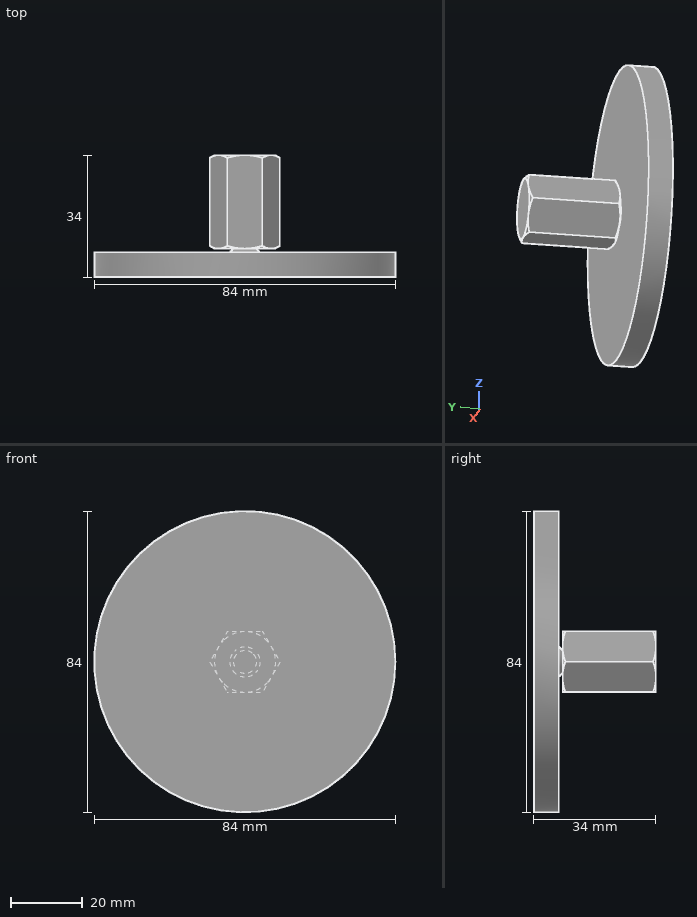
import cadquery as cq
import math

disc_diameter = 84.0
disc_thickness = 7.0
neck_length = 1.0
neck_base_radius = 4.2
neck_top_radius = neck_base_radius - neck_length

overall_depth = 34.0
hex_across_flats = 17.0
hex_across_corners = hex_across_flats / math.cos(math.radians(30))
hex_length = overall_depth - disc_thickness - neck_length

chamfer_radial = (hex_across_corners - hex_across_flats) / 2
chamfer_axial = chamfer_radial * math.tan(math.radians(30))

AXIS = cq.Vector(0, 1, 0)


def plane_at(y):
    """Plane across the Y axis, extruding toward +Y."""
    return cq.Plane(origin=(0, y, 0), xDir=(1, 0, 0), normal=AXIS)


def make_neck():
    cone = cq.Solid.makeCone(
        neck_base_radius, neck_top_radius, neck_length, pnt=cq.Vector(0, disc_thickness, 0), dir=AXIS
    )
    return cq.Workplane(obj=cone)


def make_disc():
    plate = cq.Workplane(plane_at(0)).circle(disc_diameter / 2).extrude(disc_thickness)
    return plate.union(make_neck())


def make_standoff():
    """Hexagonal prism with both ends trimmed by a chamfered round envelope."""
    hex_start = disc_thickness + neck_length
    prism = cq.Workplane(plane_at(hex_start)).polygon(6, hex_across_corners).extrude(hex_length)
    envelope = (
        cq.Workplane(plane_at(hex_start))
        .circle(hex_across_corners / 2)
        .extrude(hex_length)
        .faces("<Y or >Y")
        .chamfer(chamfer_axial, chamfer_radial)
    )
    return prism.intersect(envelope)


disc = make_disc()
standoff = make_standoff()

result = cq.Compound.makeCompound([*disc.solids().vals(), *standoff.solids().vals()])